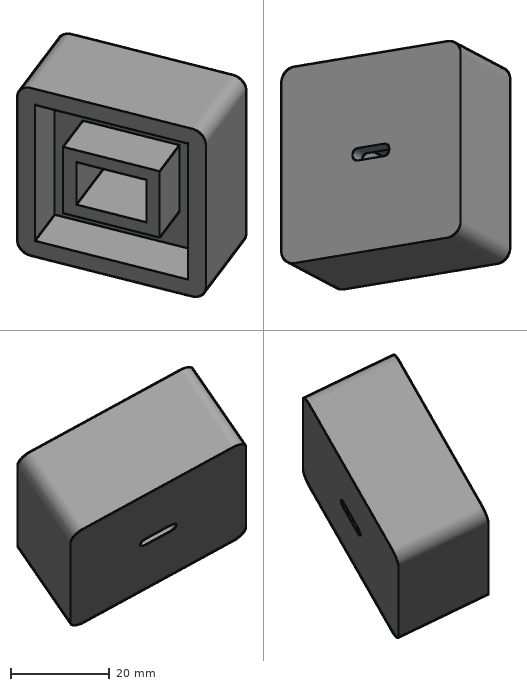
import cadquery as cq

side = 42.0
depth = 20.75
corner_radius = 3.1

wall = 4.0
cavity_side = side - 2 * wall
cavity_depth = 10.1

boss_width = 21.5
boss_height = 16.6
boss_wall = 3.0
pocket_width = boss_width - 2 * boss_wall
pocket_height = boss_height - 2 * boss_wall
back_thickness = 4.0
pocket_depth = depth - back_thickness

slot_length = 8.6
slot_height = 2.65


def front_block(width, height, length):
    """Rectangular block running from the open front face (Y = 0) towards +Y."""
    return cq.Workplane("XY").box(width, length, height, centered=(True, False, True))


body = front_block(side, side, depth).edges("|Y").fillet(corner_radius)

boss = front_block(boss_width, boss_height, cavity_depth)
cavity = front_block(cavity_side, cavity_side, cavity_depth).cut(boss)

pocket = front_block(pocket_width, pocket_height, pocket_depth)

slot = cq.Workplane("XZ").slot2D(slot_length, slot_height).extrude(-depth)

result = body.cut(cavity).cut(pocket).cut(slot)